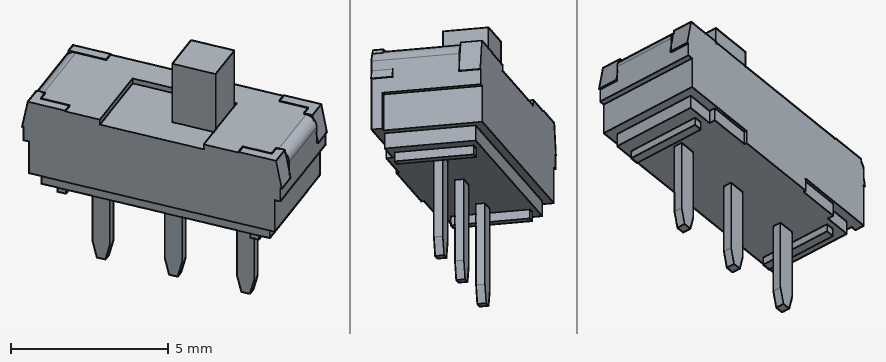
import cadquery as cq


length = 9.0
width = 3.6
housing_length = 8.89
body_length = 8.51
cover_top = 2.67
end_radius = 0.38
lug_bottom = 1.2
leg_width = 0.35

plate_thickness = 0.7
pad_top = 2.7
ear_bottom = 1.69
ear_top_length = 8.6
pad_gap = 5.99
pad_width = 0.35
end_pad_gap = 8.0

slot_length = 3.6
slot_floor = 2.48
slot_back = 0.81
knob_size = 1.5
knob_x = 1.0
knob_top = 4.7

base_length = 7.91
base_width = 3.0
base_bottom = -0.5
base_ledge_depth = 0.22
base_ledge_lengths = (5.99, 3.0)
foot_spacing = 6.68
foot_length = 0.3
foot_width = 2.61
foot_bottom = -0.8
pin_pitch = 2.5
pin_width = 0.6
pin_tip_width = 0.3
pin_thickness = 0.3
pin_y = 0.05
pin_taper_start = -3.2
pin_bottom = -3.8

plate_inner = width / 2 - plate_thickness
pad_inner = width / 2 - pad_width


def block(x0, x1, y0, y1, z0, z1):
    """Box between two opposite corners."""
    return cq.Workplane("XY").box(x1 - x0, y1 - y0, z1 - z0, centered=False).translate((x0, y0, z0))


def make_body():
    """Core with the end lugs on it, the rounded-end housing over that, and the corner leg."""
    core = block(-body_length / 2, body_length / 2, -width / 2, width / 2, 0, lug_bottom)
    lugs = block(-housing_length / 2, housing_length / 2, -width / 2, width / 2, lug_bottom, ear_bottom)
    rounded = block(-housing_length / 2, housing_length / 2, -plate_inner, plate_inner, lug_bottom, cover_top)
    corner = block(-housing_length / 2, 0, -plate_inner, width / 2, lug_bottom, cover_top)
    rounded = rounded.union(corner)
    rounded = rounded.edges("|Y and >Z and (<X or >X)").fillet(end_radius)
    leg = block(-housing_length / 2, 0, width / 2 - leg_width, width / 2, 0, lug_bottom)
    return core.union(lugs).union(rounded).union(leg)


def make_side_plate(side):
    """Flared plate on one long side (+1 for +Y, -1 for -Y), its top lowered between the pads."""
    outline = [
        (-length / 2, ear_bottom),
        (length / 2, ear_bottom),
        (ear_top_length / 2, pad_top),
        (-ear_top_length / 2, pad_top),
    ]
    plate = cq.Workplane("XZ").polyline(outline).close().extrude(plate_thickness / 2, both=True)
    plate = plate.translate((0, side * (width - plate_thickness) / 2, 0))
    middle = block(-pad_gap / 2, pad_gap / 2, -width / 2, width / 2, cover_top, pad_top)
    inner = block(-end_pad_gap / 2, end_pad_gap / 2, -pad_inner, pad_inner, cover_top, pad_top)
    plate = plate.cut(middle).cut(inner)
    if side > 0:
        rounding_bottom = cover_top - end_radius
        plate = plate.cut(block(-length / 2, -pad_gap / 2, 0, pad_inner, rounding_bottom, pad_top))
    return plate


def make_slot():
    """Shallow recess around the knob, open to the -Y side."""
    return block(-slot_length / 2, slot_length / 2, -width / 2, slot_back, slot_floor, pad_top)


def make_knob():
    half = knob_size / 2
    return block(knob_x - half, knob_x + half, -half, half, slot_floor, knob_top)


def make_base():
    """Base slab with two stepped ledges on its +Y side and a foot bar near each end."""
    base = block(-base_length / 2, base_length / 2, -base_width / 2, base_width / 2, base_bottom, 0)
    ledge_edges = (base_width / 2 + base_ledge_depth, width / 2)
    for ledge_edge, ledge_length in zip(ledge_edges, base_ledge_lengths):
        base = base.union(block(-ledge_length / 2, ledge_length / 2, 0, ledge_edge, base_bottom, 0))
    for side in (-1, 1):
        foot_x = side * foot_spacing / 2
        base = base.union(
            block(
                foot_x - foot_length / 2, foot_x + foot_length / 2,
                -foot_width / 2, foot_width / 2,
                foot_bottom, base_bottom,
            )
        )
    return base


def make_pin(x):
    """Flat pin with a tapered tip."""
    outline = [
        (-pin_width / 2, base_bottom),
        (-pin_width / 2, pin_taper_start),
        (-pin_tip_width / 2, pin_bottom),
        (pin_tip_width / 2, pin_bottom),
        (pin_width / 2, pin_taper_start),
        (pin_width / 2, base_bottom),
    ]
    pin = cq.Workplane("XZ").polyline(outline).close().extrude(pin_thickness / 2, both=True)
    return pin.translate((x, pin_y, 0))


result = make_body()
for plate_side in (-1, 1):
    result = result.union(make_side_plate(plate_side))
result = result.cut(make_slot()).union(make_knob()).union(make_base())
for pin_x in (-pin_pitch, 0, pin_pitch):
    result = result.union(make_pin(pin_x))